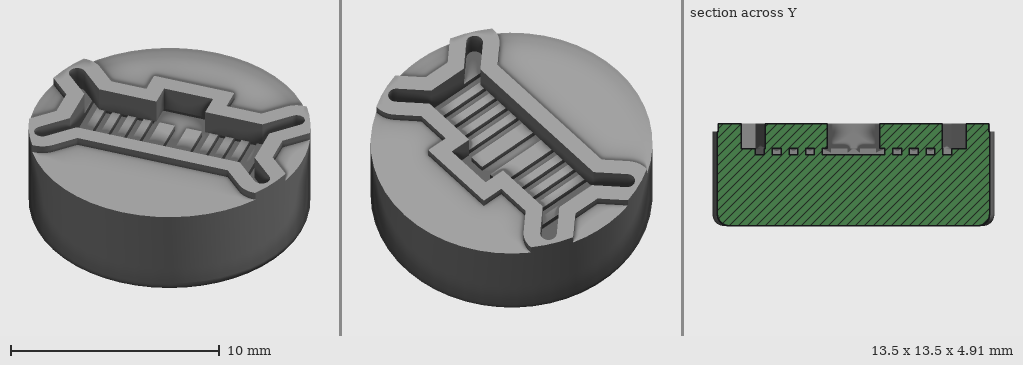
import cadquery as cq
import math

body_diameter = 13.5
body_height = 4.51
bottom_round = 0.54

frame_height = 0.4
frame_wall = 0.8
total_height = body_height + frame_height

cavity_half_length = 4.7
cavity_half_width = 1.6
notch_half_length = 1.24
notch_back = 2.71
slot_width = 0.8
slot_end_x = 5.58
slot_end_y = 2.47

ledge_depth = 1.2
groove_depth = 0.3
undercut = 0.2
cavity_depth = ledge_depth + groove_depth

bar_width = 0.4
bar_pitch = 0.8
first_bar_start = 1.48
bars_per_side = 4
bar_reach = notch_back + undercut
finger_start = 0.3
finger_end = 1.08


def rectangle(x_min, x_max, y_min, y_max, z_min, z_max):
    """Return a block between the given limits."""
    block = cq.Workplane("XY").box(x_max - x_min, y_max - y_min, z_max - z_min, centered=False)
    return block.translate((x_min, y_min, z_min))


def diagonal_slot(x_side, y_side, z_min, height):
    """Return a 45 degree slot with round ends, running from the X axis out to a cavity corner."""
    run = slot_end_y
    slot = (
        cq.Workplane("XY", origin=(0, 0, z_min))
        .center(x_side * (slot_end_x - run / 2), y_side * run / 2)
        .transformed(rotate=(0, 0, 45 * x_side * y_side))
        .slot2D(run * math.sqrt(2) + slot_width, slot_width)
        .extrude(height)
    )
    return slot


def cavity_block(z_min, height):
    """Return the full cavity outline as a solid of the given height."""
    z_max = z_min + height
    block = rectangle(
        -cavity_half_length, cavity_half_length, -cavity_half_width, cavity_half_width, z_min, z_max
    )
    block = block.union(rectangle(-notch_half_length, notch_half_length, 0, notch_back, z_min, z_max))
    for x_side in (-1, 1):
        for y_side in (-1, 1):
            block = block.union(diagonal_slot(x_side, y_side, z_min, height))
    return block


def make_body():
    """Return the round body with its rounded bottom edge."""
    body = cq.Workplane("XY").circle(body_diameter / 2).extrude(body_height)
    return body.faces("<Z").edges().fillet(bottom_round)


def make_frame():
    """Return the wall around the cavity, trimmed to the body's circle."""
    outline = cavity_block(body_height, frame_height).faces(">Z").wires().toPending()
    frame = outline.offset2D(frame_wall, "intersection").extrude(-frame_height)
    trim = cq.Workplane("XY", origin=(0, 0, body_height)).circle(body_diameter / 2).extrude(frame_height)
    return frame.intersect(trim)


def make_cavity():
    """Return the space to remove: the open outline down to the ledge, and the undercut floor layer."""
    ledge = total_height - ledge_depth
    floor = total_height - cavity_depth
    upper = cavity_block(ledge, ledge_depth)
    outline = cavity_block(floor, groove_depth).faces(">Z").wires().toPending()
    widened = outline.offset2D(undercut, "intersection").extrude(-groove_depth)
    middle = rectangle(-cavity_half_length, cavity_half_length, -bar_reach, bar_reach, floor, ledge)
    return upper.union(widened.intersect(middle))


def make_bars():
    """Return the bars and the two wider, shorter fingers in the middle of the cavity floor."""
    floor = total_height - cavity_depth
    top = total_height - ledge_depth
    spans = [(finger_start, finger_end, cavity_half_width)]
    for index in range(bars_per_side):
        start = first_bar_start + index * bar_pitch
        spans.append((start, start + bar_width, bar_reach))
    bars = cq.Workplane("XY")
    for start, end, back in spans:
        bar = rectangle(start, end, -bar_reach, back, floor, top)
        bars = bars.add(bar).add(bar.mirror("YZ"))
    return bars.combine()


cavity = make_cavity().cut(make_bars())
result = make_body().union(make_frame()).cut(cavity)